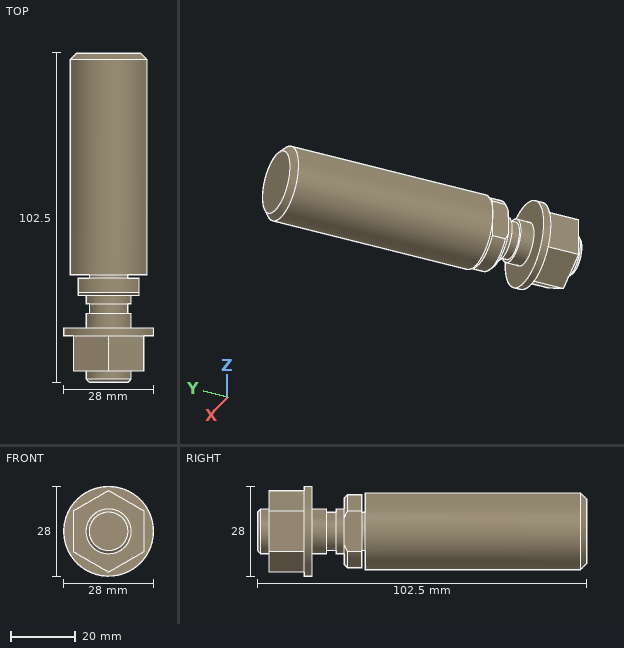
import cadquery as cq
import math

total_length = 102.5
tip_projection = 3.5
nut_thickness = 11.0
washer_thickness = 2.5
groove_start = 21.5
groove_width = 3.0
collar_start = 27.0
collar_thickness = 5.5
neck_length = 1.0

body_diameter = 24.0
stud_diameter = 14.0
groove_diameter = 12.0
neck_diameter = groove_diameter
washer_diameter = 28.0
collar_diameter = 22.8
collar_flats = 19.0
nut_flats = 22.0

stud_chamfer = 1.0
collar_chamfer = 1.0
body_chamfer = 2.0

nut_start = tip_projection
washer_start = nut_start + nut_thickness
collar_end = collar_start + collar_thickness
body_start = collar_end + neck_length
body_length = total_length - body_start


def section_plane(y):
    """Plane across the axis at station y, with its normal along +Y."""
    return cq.Workplane("XZ", origin=(0, y, 0))


def cylinder(diameter, y, length):
    """Solid cylinder on the Y axis, from y to y + length."""
    return section_plane(y).circle(diameter / 2).extrude(-length)


def make_stud():
    """Stud running up to the collar, with a chamfered tip and a relief groove."""
    stud = cylinder(stud_diameter, 0, collar_start).faces("<Y").chamfer(stud_chamfer)
    ring = cylinder(stud_diameter, groove_start, groove_width)
    ring = ring.cut(cylinder(groove_diameter, groove_start, groove_width))
    return stud.cut(ring)


def make_neck():
    """Short reduced neck between the collar and the body."""
    return cylinder(neck_diameter, collar_end, neck_length)


def make_nut():
    """Hexagon nut with two corners pointing along Z."""
    sides = 6
    quarter_turn = 90
    corner_diameter = nut_flats / math.cos(math.pi / sides)
    nut = section_plane(nut_start).polygon(sides, corner_diameter).extrude(-nut_thickness)
    return nut.rotate((0, 0, 0), (0, 1, 0), quarter_turn)


def make_collar():
    """Round collar, chamfered towards the tip, with two wrench flats facing -X and +X."""
    collar = cylinder(collar_diameter, collar_start, collar_thickness)
    collar = collar.faces("<Y").chamfer(collar_chamfer)
    flats = section_plane(collar_start).rect(collar_flats, collar_diameter)
    return collar.intersect(flats.extrude(-collar_thickness))


def make_body():
    """Long cylindrical body with a chamfered far end."""
    body = cylinder(body_diameter, body_start, body_length)
    return body.faces(">Y").chamfer(body_chamfer)


def make_washer():
    """Plain washer seated against the nut."""
    return cylinder(washer_diameter, washer_start, washer_thickness)


result = (
    make_stud()
    .union(make_nut())
    .union(make_washer())
    .union(make_collar())
    .union(make_neck())
    .union(make_body())
)